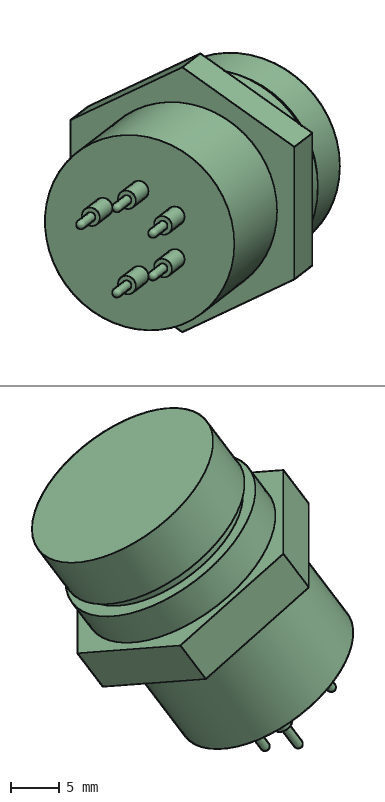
import cadquery as cq
import math

total_length = 35.7
back_y = total_length / 2

head_diameter = 22.0
head_length = 6.32
groove_diameter = 20.05
groove_length = 1.3
flange_diameter = 23.05
flange_length = 4.0
shank_diameter = 21.15
shank_length = 17.2

nut_across_flats = 25.0
nut_thickness = 5.1

pin_circle_radius = 4.65
pin_angles = [-90, -30, 30, 90, 150]
sleeve_diameter = 2.0
sleeve_length = 3.57
pin_diameter = 1.0

head_front_y = back_y - head_length
groove_front_y = head_front_y - groove_length
flange_front_y = groove_front_y - flange_length
shank_front_y = flange_front_y - shank_length
sleeve_front_y = shank_front_y - sleeve_length
tip_center_y = -back_y + pin_diameter / 2
pin_length = sleeve_front_y - tip_center_y


def plane_at(y):
    """Plane across the axis at y: local x is X, local y is Z, normal is -Y."""
    return cq.Workplane("XZ", origin=(0, y, 0))


def cylinder(start_y, diameter, length):
    """Cylinder on the connector axis, growing from start_y toward -Y."""
    return plane_at(start_y).circle(diameter / 2).extrude(length)


def contact_pin(angle):
    """Sleeve and thinner pin with a hemispherical tip at one angle of the pin circle."""
    x = pin_circle_radius * math.cos(math.radians(angle))
    z = pin_circle_radius * math.sin(math.radians(angle))
    sleeve = cylinder(shank_front_y, sleeve_diameter, sleeve_length)
    pin = cylinder(sleeve_front_y, pin_diameter, pin_length)
    tip = plane_at(tip_center_y).sphere(pin_diameter / 2)
    return sleeve.union(pin).union(tip).translate((x, 0, z))


def make_connector():
    """Stepped round body with its contact pins."""
    head = cylinder(back_y, head_diameter, head_length)
    groove = cylinder(head_front_y, groove_diameter, groove_length)
    flange = cylinder(groove_front_y, flange_diameter, flange_length)
    shank = cylinder(flange_front_y, shank_diameter, shank_length)
    body = head.union(groove).union(flange).union(shank)
    for angle in pin_angles:
        body = body.union(contact_pin(angle))
    return body


def make_nut():
    """Hexagonal ring with corners toward +Z and -Z, bored to fit the shank."""
    across_corners = nut_across_flats / math.cos(math.radians(30))
    hexagon = plane_at(flange_front_y).polygon(6, across_corners).extrude(nut_thickness)
    hexagon = hexagon.rotate((0, 0, 0), (0, 1, 0), 30)
    bore = cylinder(flange_front_y, shank_diameter, nut_thickness)
    return hexagon.cut(bore)


connector = make_connector()
nut = make_nut()

result = cq.Compound.makeCompound([connector.solids().val(), nut.solids().val()])